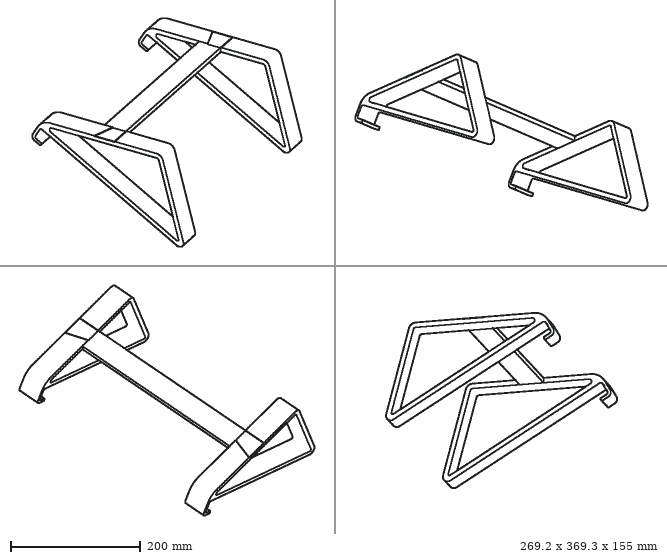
import cadquery as cq
import math

LENGTH = 269.2
SPAN = 369.3
HEIGHT = 155.0

FRAME_WIDTH = 37.0
TOP_WALL = 8.0
SIDE_WALL = 7.8
BRACE_ANGLE = -30.0
LEG_ANGLE = -75.0
TOE_RADIUS = 8.0
KNEE_RADIUS = 12.2
TOE_INNER_RADIUS = 2.2
HEEL_RADIUS = 4.0

HOOK_WALL = 5.0
ARM_ANGLE = -120.0
LIP_ANGLE = BRACE_ANGLE
ARM_LENGTH = 40.5
LIP_LENGTH = 20.3
SHOULDER_RADIUS = 25.0
HOOK_RADIUS = 8.0
ARMPIT_RADIUS = 3.5
TIP_RADIUS = 1.5

BAR_START = 108.0
BAR_WIDTH = 38.5
BAR_END = BAR_START + BAR_WIDTH
TONGUE_DEPTH = 1.0
TONGUE_END_START = 110.5
TONGUE_ROOT_START = 122.5

FRAME_INNER_Y = SPAN / 2 - FRAME_WIDTH


def step(point, angle, distance):
    """Point reached by moving a distance at an angle in the XZ plane."""
    turn = math.radians(angle)
    return point[0] + distance * math.cos(turn), point[1] + distance * math.sin(turn)


def crossing(p, p_angle, q, q_angle):
    """Crossing of two lines, each given by a point and an angle."""
    q_turn = math.radians(q_angle)
    offset = (q[0] - p[0]) * math.sin(q_turn) - (q[1] - p[1]) * math.cos(q_turn)
    return step(p, p_angle, offset / math.sin(math.radians(q_angle - p_angle)))


def rounded_outline(corners):
    """Closed XZ wire through (point, radius) corners, each rounded by a tangent arc."""
    path = None
    for i, (corner, radius) in enumerate(corners):
        before = cq.Vector(*corners[i - 1][0])
        after = cq.Vector(*corners[(i + 1) % len(corners)][0])
        vertex = cq.Vector(*corner)
        to_before = (before - vertex).normalized()
        to_after = (after - vertex).normalized()
        half_angle = to_before.getAngle(to_after) / 2
        tangent_length = radius / math.tan(half_angle)
        middle_distance = radius / math.sin(half_angle) - radius
        start = vertex + to_before * tangent_length
        middle = vertex + (to_before + to_after).normalized() * middle_distance
        end = vertex + to_after * tangent_length
        if path is None:
            path = cq.Workplane("XZ").moveTo(start.x, start.y)
        else:
            path = path.lineTo(start.x, start.y)
        path = path.threePointArc((middle.x, middle.y), (end.x, end.y))
    return path.close()


TOE_CENTRE = (LENGTH - TOE_RADIUS, TOE_RADIUS - HEIGHT)
BRACE_POINT = step(TOE_CENTRE, BRACE_ANGLE - 90, TOE_RADIUS)
LEG_POINT = step(TOE_CENTRE, LEG_ANGLE + 90, TOE_RADIUS)


def frame_profile():
    """Outer outline of a frame, including its hook."""
    hook_centre = (HOOK_RADIUS, 0)
    arm_side = step(hook_centre, ARM_ANGLE - 90, HOOK_RADIUS)
    lip_side = step(hook_centre, LIP_ANGLE - 90, HOOK_RADIUS)
    hook_x = crossing(arm_side, ARM_ANGLE, lip_side, LIP_ANGLE)[0]
    hook = (hook_x, ARM_LENGTH * math.sin(math.radians(ARM_ANGLE)))

    shoulder = step(hook, ARM_ANGLE + 180, ARM_LENGTH)
    tip_outer = step(hook, LIP_ANGLE, LIP_LENGTH)
    tip_inner = step(tip_outer, LIP_ANGLE + 90, HOOK_WALL)
    arm_inner = step(hook, ARM_ANGLE + 90, HOOK_WALL)
    hook_inner = crossing(arm_inner, ARM_ANGLE, tip_inner, LIP_ANGLE)
    armpit = crossing(arm_inner, ARM_ANGLE, BRACE_POINT, BRACE_ANGLE)
    toe = crossing(BRACE_POINT, BRACE_ANGLE, LEG_POINT, LEG_ANGLE)
    knee = crossing((0, 0), 0, LEG_POINT, LEG_ANGLE)
    return rounded_outline([
        (shoulder, SHOULDER_RADIUS),
        (hook, HOOK_RADIUS),
        (tip_outer, TIP_RADIUS),
        (tip_inner, TIP_RADIUS),
        (hook_inner, HOOK_RADIUS - HOOK_WALL),
        (armpit, ARMPIT_RADIUS),
        (toe, TOE_RADIUS),
        (knee, KNEE_RADIUS),
    ])


def frame_opening():
    """Triangular opening, inset from the outer lines by the wall of each side."""
    top_inner = (0, -TOP_WALL)
    brace_inner = step(BRACE_POINT, BRACE_ANGLE + 90, SIDE_WALL)
    leg_inner = step(LEG_POINT, LEG_ANGLE - 90, SIDE_WALL)
    return rounded_outline([
        (crossing(top_inner, 0, brace_inner, BRACE_ANGLE), HEEL_RADIUS),
        (crossing(brace_inner, BRACE_ANGLE, leg_inner, LEG_ANGLE), TOE_INNER_RADIUS),
        (crossing(top_inner, 0, leg_inner, LEG_ANGLE), KNEE_RADIUS - TOP_WALL),
    ])


def make_tongue(side):
    """Half-dovetail at the +Y (side = 1) or -Y (side = -1) end of the crossbar."""
    inner_y = side * FRAME_INNER_Y
    outer_y = side * SPAN / 2
    outline = [
        (TONGUE_ROOT_START, inner_y),
        (TONGUE_END_START, outer_y),
        (BAR_END, outer_y),
        (BAR_END, inner_y),
    ]
    return cq.Workplane("XY").polyline(outline).close().extrude(-TONGUE_DEPTH)


def make_frame(side):
    """Side frame with a recess in its top for the crossbar tongue."""
    blank = frame_profile().extrude(FRAME_WIDTH / 2, both=True)
    opening = frame_opening().extrude(FRAME_WIDTH, both=True)
    centre_y = side * (SPAN - FRAME_WIDTH) / 2
    return blank.cut(opening).translate((0, centre_y, 0)).cut(make_tongue(side))


def make_crossbar():
    """Flat bar between the frames, with a tongue let into each one."""
    bar = cq.Workplane("XY").box(BAR_WIDTH, 2 * FRAME_INNER_Y, TOP_WALL, centered=(False, True, False))
    bar = bar.translate((BAR_START, 0, -TOP_WALL))
    for side in (-1, 1):
        bar = bar.union(make_tongue(side))
    return bar


frames = [make_frame(side) for side in (-1, 1)]
crossbar = make_crossbar()

result = cq.Compound.makeCompound([crossbar.val(), *[frame.val() for frame in frames]])